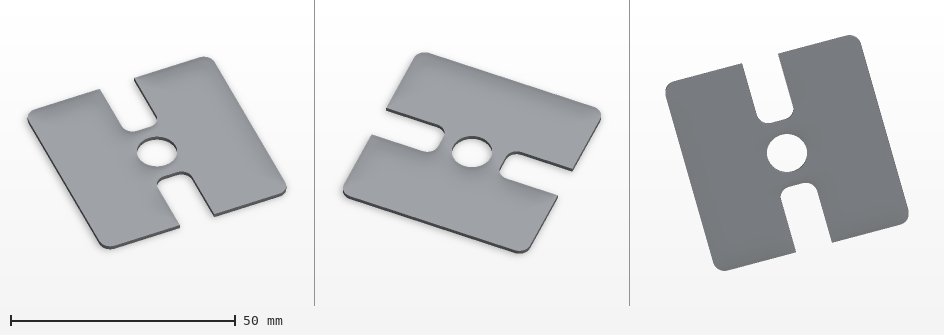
import cadquery as cq

side = 45.0
thickness = 1.0
corner_radius = 2.6

hole_diameter = 9.0

slot_width = 8.32
slot_depth = 15.0
slot_corner_radius = 2.6


def make_plate():
    """Square plate, centred on the origin in X and Y, with rounded corners."""
    plate = cq.Workplane("XY").rect(side, side).extrude(thickness)
    return plate.edges("|Z").fillet(corner_radius)


def make_slot_cutter(direction):
    """Slot volume on the -X (-1) or +X (+1) side, with its inner corners rounded."""
    cutter = (
        cq.Workplane("XY")
        .center(direction * side / 2, 0)
        .rect(2 * slot_depth, slot_width)
        .extrude(thickness)
    )
    return cutter.edges("|Z").fillet(slot_corner_radius)


result = make_plate().faces(">Z").workplane().hole(hole_diameter)
for direction in (-1, 1):
    result = result.cut(make_slot_cutter(direction))